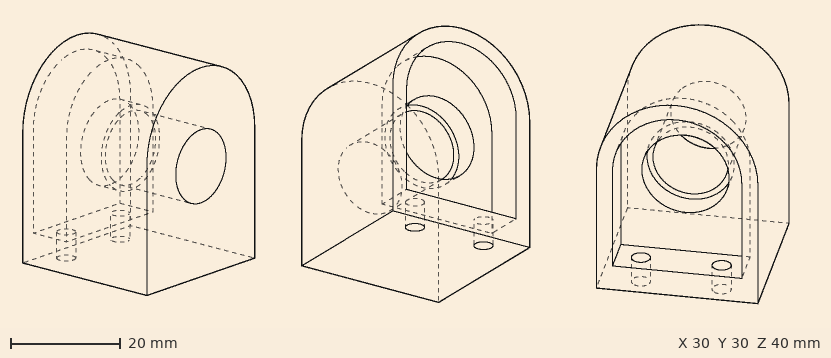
import cadquery as cq

length = 30.0
width = 30.0
height = 40.0

wall = 3.0
floor_thickness = 5.0
pocket_depth = 8.0

bore_height = 21.15
seat_diameter = 16.2
seat_depth = 5.0
bore_diameter = 14.0

mount_diameter = 3.5
mount_spacing = 15.0
mount_x = pocket_depth / 2

arch_center_height = height - width / 2


def arched_prism(half_width, bottom, depth):
    """Flat-bottomed prism with a semicircular top, from X = 0 toward +X."""
    return (
        cq.Workplane("YZ")
        .moveTo(-half_width, bottom)
        .lineTo(half_width, bottom)
        .lineTo(half_width, arch_center_height)
        .threePointArc((0, arch_center_height + half_width), (-half_width, arch_center_height))
        .close()
        .extrude(depth)
    )


def bore_cylinder(diameter, depth):
    """Cylinder on the bore axis, from X = 0 toward +X."""
    return cq.Workplane("YZ").center(0, bore_height).circle(diameter / 2).extrude(depth)


def mounting_holes():
    """Pair of vertical cylinders that pass through the pocket floor."""
    half_spacing = mount_spacing / 2
    return (
        cq.Workplane("XY")
        .pushPoints([(mount_x, -half_spacing), (mount_x, half_spacing)])
        .circle(mount_diameter / 2)
        .extrude(floor_thickness)
    )


body = arched_prism(width / 2, 0, length)
pocket = arched_prism(width / 2 - wall, floor_thickness, pocket_depth)
seat = bore_cylinder(seat_diameter, pocket_depth + seat_depth)
through_bore = bore_cylinder(bore_diameter, length)

housing = body.cut(pocket).cut(seat).cut(through_bore).cut(mounting_holes())

result = housing.translate((-length / 2, 0, 0))